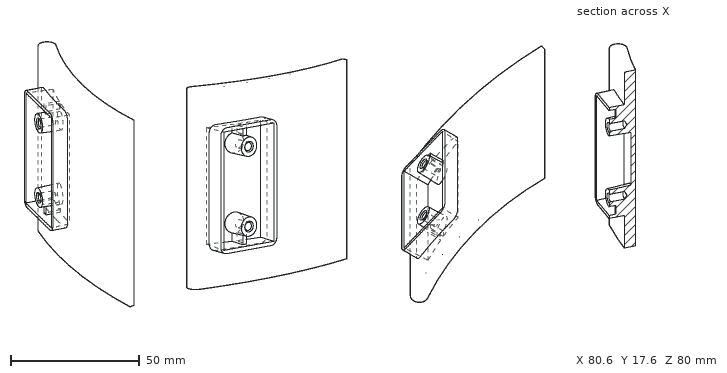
import cadquery as cq
import math

plate_height = 80.0
tip_top = (80.0, 17.7)
tip_bottom = (80.7, 15.55)
back_start = (4.35, 14.6)
back_middle = (36.3, 10.7)
nose_middle = (0.0, 11.1)
front_start = (3.2, 7.6)
front_middle = (40.3, 7.6)
edge_round = 0.25

frame_width = 28.05
frame_height = 50.5
frame_left = 7.5
frame_corner_radius = 3.0
frame_wall = 1.5
frame_depth = 8.9
frame_tilt = 2.0
cavity_depth = 14.5
cavity_draft = 1.8
skin_thickness = 2.0

boss_spacing = 32.0
boss_diameter = 7.7
boss_offset = 0.1
boss_draft = 2.0
rib_thickness = 1.7
rib_recess = 2.75

hole_diameter = 3.2
hole_mouth_diameter = 4.3
hole_depth = 6.45
hole_tip_angle = 118.0

tilt_x = math.cos(math.radians(frame_tilt))
tilt_y = math.sin(math.radians(frame_tilt))


def rim_plane(depth, offset=0.0, height=0.0):
    """Plane parallel to the tilted rim, `depth` behind it, facing the plate."""
    along = frame_width / 2 + offset
    origin_x = frame_left + along * tilt_x - depth * tilt_y
    origin_y = along * tilt_y + depth * tilt_x
    origin = (origin_x, origin_y, height)
    return cq.Plane(origin=origin, xDir=(tilt_x, tilt_y, 0), normal=(-tilt_y, tilt_x, 0))


def arc_centre(start, middle, end):
    """Centre of the circle through three points."""
    (ax, ay), (bx, by), (cx, cy) = start, middle, end
    a = ax**2 + ay**2
    b = bx**2 + by**2
    c = cx**2 + cy**2
    scale = 2 * (ax * (by - cy) + bx * (cy - ay) + cx * (ay - by))
    x = (a * (by - cy) + b * (cy - ay) + c * (ay - by)) / scale
    y = (a * (cx - bx) + b * (ax - cx) + c * (bx - ax)) / scale
    return x, y


def make_plate():
    plate = (
        cq.Workplane("XY", origin=(0, 0, -plate_height / 2))
        .moveTo(*front_start)
        .threePointArc(front_middle, tip_bottom)
        .lineTo(*tip_top)
        .threePointArc(back_middle, back_start)
        .threePointArc(nose_middle, front_start)
        .close()
        .extrude(plate_height)
    )
    return plate.faces("<Z or >Z or >X").edges().fillet(edge_round)


def make_back_space():
    """Cylinder whose surface lies under the back of the plate by the skin thickness."""
    centre = arc_centre(back_start, back_middle, tip_top)
    radius = math.dist(centre, back_middle) + skin_thickness
    return cq.Workplane("XY").center(*centre).circle(radius).extrude(plate_height / 2, both=True)


def make_frame_block():
    rim = rim_plane(0)
    block = cq.Workplane(rim).rect(frame_width, frame_height).extrude(frame_depth)
    corner_edges = cq.selectors.ParallelDirSelector(rim.zDir)
    return block.edges(corner_edges).fillet(frame_corner_radius)


def make_cavity_outline():
    width = frame_width - 2 * frame_wall
    height = frame_height - 2 * frame_wall
    return cq.Workplane(rim_plane(0)).rect(width, height).extrude(cavity_depth, taper=cavity_draft)


def make_boss(height):
    plane = rim_plane(0, boss_offset, height)
    return cq.Workplane(plane).circle(boss_diameter / 2).extrude(cavity_depth, taper=-boss_draft)


def make_rib(side):
    inner = boss_spacing / 2
    outer = frame_height / 2 - frame_wall / 2
    plane = rim_plane(rib_recess, boss_offset, side * (inner + outer) / 2)
    rib = cq.Workplane(plane).rect(rib_thickness, outer - inner)
    return rib.extrude(cavity_depth - rib_recess, taper=-boss_draft)


def make_screw_hole(height):
    radius = hole_diameter / 2
    mouth_radius = hole_mouth_diameter / 2
    tip_length = radius / math.tan(math.radians(hole_tip_angle / 2))
    profile = (
        cq.Workplane(rim_plane(0, boss_offset, height))
        .transformed(rotate=(90, 0, 0))
        .polyline([
            (0, 0),
            (mouth_radius, 0),
            (radius, mouth_radius - radius),
            (radius, hole_depth),
            (0, hole_depth + tip_length),
        ])
        .close()
    )
    return profile.revolve(360, (0, 0), (0, 1))


def make_cavity():
    """Hollow of the frame, with the bosses and ribs left standing in it."""
    cavity = make_cavity_outline().cut(make_back_space())
    for side in (-1, 1):
        cavity = cavity.cut(make_boss(side * boss_spacing / 2)).cut(make_rib(side))
    return cavity


result = make_plate().union(make_frame_block()).cut(make_cavity())
for side in (-1, 1):
    result = result.cut(make_screw_hole(side * boss_spacing / 2))